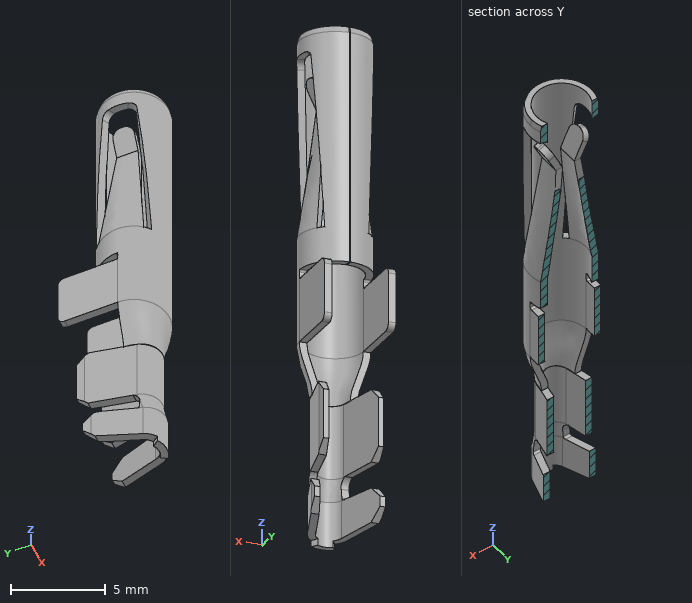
import cadquery as cq
import math

sheet = 0.44

total_height = 28.32
crimp_bottom = 3.78
crimp_top = 7.92
cradle_bottom = 10.82
cradle_top = 14.40
barrel_bottom = 14.91
grip_top = 2.55

barrel_radius = 2.045
barrel_bore = barrel_radius - sheet
lead_height = 0.36
lead_width = 0.09
seam_gap = 0.07

tab_tip = 3.475
tab_corner = 0.4
gap_corner = 0.12

window_bottom = 16.89
window_top = 27.10
window_angle_bottom = 52.0
window_angle_top = 28.0
window_corner = 0.45
window_inner_x = 0.95
window_outer_x = 2.6
tongue_root_angle = 39.5
tongue_half_width = 0.62
tongue_corner = 0.55
contact_height = 24.4
contact_x = 0.38
tongue_tip_x = 1.13
tongue_tip_height = 26.03

neck_half_width = 1.31
neck_depth = 1.66
neck_steps = 4

crimp_radius = 1.20
crimp_flare = 12.0
crimp_lowest = -neck_depth
crimp_tip = 2.56
crimp_corner = 0.68

grip_radius = 1.213
grip_flare = 18.0
grip_lowest = -1.90
grip_tip = 2.07
grip_corner = 0.70
grip_edge_outer = 0.57
grip_edge_inner = 0.33

wing_bevel_length = 0.52
wing_bevel_depth = 0.15

link_open_y = -0.51
link_slot_y = -0.87
link_slot_radius = 0.6
link_slot_corner = 0.12

stub_angle = 34.0

across = 10.0


def prism_along_x(outline):
    """Extrude a closed YZ outline through the whole width of the part."""
    return outline.extrude(across / 2, both=True)


def wall_points(radius, flare, lowest, wall_radius):
    """Side direction, bend point and bottom point of one U-shaped wall line, on +X."""
    angle = math.radians(flare)
    centre_y = lowest + radius
    bend = (wall_radius * math.cos(angle), centre_y - wall_radius * math.sin(angle))
    bottom = (0, centre_y - wall_radius)
    direction = (math.sin(angle), math.cos(angle))
    return direction, bend, bottom


def along(point, direction, length):
    return (point[0] + direction[0] * length, point[1] + direction[1] * length)


def mirrored(point):
    return (-point[0], point[1])


def u_section(height, radius, flare, lowest, tip_y, beveled=False):
    """U-shaped sheet section with flared sides; the wing tips may be thinned from outside."""
    direction, bend, bottom = wall_points(radius, flare, lowest, radius)
    _, inner_bend, inner_bottom = wall_points(radius, flare, lowest, radius - sheet)
    side_length = (tip_y - bend[1]) / direction[1]
    inner_tip = along(inner_bend, direction, side_length)
    outer_tip = along(bend, direction, side_length)
    wing = [outer_tip]
    if beveled:
        inward = (-direction[1], direction[0])
        bevel_start = along(bend, direction, side_length - wing_bevel_length)
        wing = [bevel_start, along(outer_tip, inward, wing_bevel_depth)]
    section = cq.Workplane("XY", origin=(0, 0, height)).moveTo(*bend)
    for point in wing + [inner_tip, inner_bend]:
        section = section.lineTo(*point)
    section = section.threePointArc(inner_bottom, mirrored(inner_bend))
    for point in [inner_tip] + wing[::-1] + [bend]:
        section = section.lineTo(*mirrored(point))
    return section.threePointArc(bottom, bend).close()


def make_barrel():
    height = total_height - barrel_bottom
    tube = cq.Workplane("XY", origin=(0, 0, barrel_bottom)).circle(barrel_radius).extrude(height)
    tube = tube.faces(">Z").chamfer(lead_height, lead_width)
    bore = cq.Workplane("XY", origin=(0, 0, barrel_bottom)).circle(barrel_bore).extrude(height)
    seam = cq.Workplane("XY").box(seam_gap, across, total_height, centered=(True, False, False))
    return tube.cut(bore).cut(seam)


def make_cradle():
    """Open half tube under the barrel, with a flat guide tab rising from each side."""
    trough = (
        cq.Workplane("XY", origin=(0, 0, cradle_bottom))
        .moveTo(barrel_radius, tab_tip)
        .lineTo(barrel_radius, 0)
        .threePointArc((0, -barrel_radius), (-barrel_radius, 0))
        .lineTo(-barrel_radius, tab_tip)
        .lineTo(-barrel_bore, tab_tip)
        .lineTo(-barrel_bore, 0)
        .threePointArc((0, -barrel_bore), (barrel_bore, 0))
        .lineTo(barrel_bore, tab_tip)
        .close()
        .extrude(barrel_bottom - cradle_bottom)
    )
    gap = prism_along_x(
        cq.Workplane("YZ")
        .moveTo(across, cradle_top)
        .lineTo(gap_corner, cradle_top)
        .radiusArc((0, cradle_top + gap_corner), gap_corner)
        .lineTo(0, barrel_bottom - gap_corner)
        .radiusArc((gap_corner, barrel_bottom), gap_corner)
        .lineTo(across, barrel_bottom)
        .close()
    )
    return trough.cut(gap).faces(">Y").edges("|X").fillet(tab_corner)


def cut_window(body, side):
    """Tapered window with radial side walls; side is +1 for +X and -1 for -X."""
    def section(height, angle):
        slope = math.tan(math.radians(angle))
        corners = []
        for x in (window_inner_x, window_outer_x):
            corners.append((side * x, -x * slope))
        for x in (window_outer_x, window_inner_x):
            corners.append((side * x, x * slope))
        return cq.Workplane("XY", origin=(0, 0, height)).polyline(corners).close().wires().val()

    bottom = section(window_bottom, window_angle_bottom)
    top = section(window_top, window_angle_top)
    opening = cq.Workplane(cq.Solid.makeLoft([bottom, top], True))
    opening = opening.faces(">Z").edges("not |Y").fillet(window_corner)
    return body.cut(opening)


def make_tongue():
    """Spring tongue on +X: curved like the barrel at its root, flat where it bends outward."""
    angle = math.radians(tongue_root_angle)
    outer = (barrel_radius * math.cos(angle), barrel_radius * math.sin(angle))
    inner = (barrel_bore * math.cos(angle), barrel_bore * math.sin(angle))
    root = (
        cq.Workplane("XY", origin=(0, 0, window_bottom))
        .moveTo(inner[0], -inner[1])
        .lineTo(outer[0], -outer[1])
        .threePointArc((barrel_radius, 0), outer)
        .lineTo(*inner)
        .threePointArc((barrel_bore, 0), (inner[0], -inner[1]))
        .close()
    )
    contact_outer_x = contact_x + sheet
    contact = (
        cq.Workplane("XY", origin=(0, 0, contact_height))
        .moveTo(contact_x, -tongue_half_width)
        .lineTo(contact_outer_x, -tongue_half_width)
        .lineTo(contact_outer_x, tongue_half_width)
        .lineTo(contact_x, tongue_half_width)
        .close()
    )
    arm = cq.Workplane(cq.Solid.makeLoft([root.wires().val(), contact.wires().val()], True))

    lean = math.atan2(tongue_tip_x - contact_x, tongue_tip_height - contact_height)
    tip_outer = (tongue_tip_x + sheet * math.cos(lean), tongue_tip_height - sheet * math.sin(lean))
    flare = (
        cq.Workplane("XZ")
        .moveTo(contact_x, contact_height)
        .lineTo(contact_outer_x, contact_height)
        .lineTo(*tip_outer)
        .lineTo(tongue_tip_x, tongue_tip_height)
        .close()
        .extrude(tongue_half_width, both=True)
    )
    tip_edges = cq.selectors.BoxSelector(
        (contact_x, -across, tip_outer[1] - sheet / 2),
        (across, across, total_height),
    )
    flare = flare.edges("not |Y").edges(tip_edges).fillet(tongue_corner)
    return arm.union(flare)


def make_neck():
    """Smooth taper from the round cradle to the wire crimp, open towards +Y."""
    def section(step):
        share = step / neck_steps
        blend = share * share * (3 - 2 * share)
        height = cradle_bottom + (crimp_top - cradle_bottom) * share
        half_width = barrel_radius + (neck_half_width - barrel_radius) * blend
        depth = barrel_radius + (neck_depth - barrel_radius) * blend
        return height, half_width, depth

    def loft(inset):
        wires = []
        for step in range(neck_steps + 1):
            height, half_width, depth = section(step)
            plane = cq.Workplane("XY", origin=(0, 0, height))
            wires.append(plane.ellipse(half_width - inset, depth - inset).wires().val())
        return cq.Workplane(cq.Solid.makeLoft(wires))

    open_side = cq.Workplane("XY").box(across, across, total_height, centered=(True, False, False))
    return loft(0).cut(loft(sheet)).cut(open_side)


def make_crimp():
    height = crimp_top - crimp_bottom
    crimp = u_section(crimp_bottom, crimp_radius, crimp_flare, crimp_lowest, crimp_tip, True).extrude(height)
    outline = prism_along_x(
        cq.Workplane("YZ")
        .moveTo(-across, crimp_bottom)
        .lineTo(crimp_tip - crimp_corner, crimp_bottom)
        .lineTo(crimp_tip, crimp_bottom + crimp_corner)
        .lineTo(crimp_tip, crimp_top - crimp_corner)
        .lineTo(crimp_tip - crimp_corner, crimp_top)
        .lineTo(-across, crimp_top)
        .close()
    )
    return crimp.intersect(outline)


def make_link():
    """Short open trough joining wire crimp and grip, scooped out between their wings."""
    lower = u_section(grip_top, grip_radius, grip_flare, grip_lowest, link_open_y)
    upper = u_section(crimp_bottom, crimp_radius, crimp_flare, crimp_lowest, link_open_y)
    link = cq.Workplane(cq.Solid.makeLoft([lower.wires().val(), upper.wires().val()], True))
    scoop = prism_along_x(
        cq.Workplane("YZ")
        .moveTo(across, grip_top)
        .lineTo(link_slot_y + link_slot_corner, grip_top)
        .radiusArc((link_slot_y, grip_top + link_slot_corner), link_slot_corner)
        .lineTo(link_slot_y, crimp_bottom - link_slot_radius)
        .radiusArc((link_open_y, crimp_bottom), link_slot_radius)
        .lineTo(across, crimp_bottom)
        .close()
    )
    return link.cut(scoop)


def make_grip():
    """Insulation grip with cut wing corners; its round bottom ends in the carrier stub."""
    grip = u_section(0, grip_radius, grip_flare, grip_lowest, grip_tip, True).extrude(grip_top)
    outline = prism_along_x(
        cq.Workplane("YZ")
        .moveTo(-across, grip_edge_inner)
        .lineTo(grip_lowest, grip_edge_inner)
        .lineTo(grip_tip - grip_corner, grip_edge_outer)
        .lineTo(grip_tip, grip_edge_outer + grip_corner)
        .lineTo(grip_tip, grip_top - grip_corner)
        .lineTo(grip_tip - grip_corner, grip_top)
        .lineTo(-across, grip_top)
        .close()
    )
    centre_y = grip_lowest + grip_radius
    stub_spread = across * math.tan(math.radians(stub_angle))
    stub_sector = (
        cq.Workplane("XY")
        .moveTo(0, centre_y)
        .lineTo(stub_spread, centre_y - across)
        .lineTo(-stub_spread, centre_y - across)
        .close()
        .extrude(grip_top)
    )
    return grip.intersect(outline.union(stub_sector))


barrel = make_barrel()
for window_side in (1, -1):
    barrel = cut_window(barrel, window_side)

tongue = make_tongue()
result = barrel.union(tongue).union(tongue.mirror("YZ"))
for section_part in (make_cradle(), make_neck(), make_crimp(), make_link(), make_grip()):
    result = result.union(section_part)